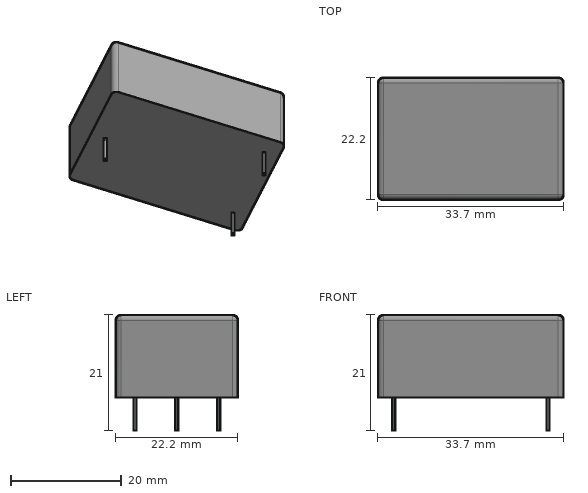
import cadquery as cq

case_length = 33.7
case_width = 22.2
case_height = 15.0
edge_radius = 1.0

total_height = 21.0
pin_length = total_height - case_height
pin_diameter = 0.6
pin_embed = 1.0
pin_row_spacing = 28.0
pin_pitch = 7.6
pin_row_x = pin_row_spacing / 2

pin_places = [
    (-pin_row_x, -pin_pitch),
    (-pin_row_x, pin_pitch),
    (pin_row_x, 0),
]


def make_case():
    """Block on z = 0 with its upright and top edges rounded."""
    block = cq.Workplane("XY").box(case_length, case_width, case_height, centered=(True, True, False))
    return block.edges("|Z or >Z").fillet(edge_radius)


def make_pins():
    """Round pins reaching down from the underside of the case."""
    return (
        cq.Workplane("XY")
        .workplane(offset=-pin_length)
        .pushPoints(pin_places)
        .circle(pin_diameter / 2)
        .extrude(pin_length + pin_embed)
    )


result = make_case().union(make_pins())